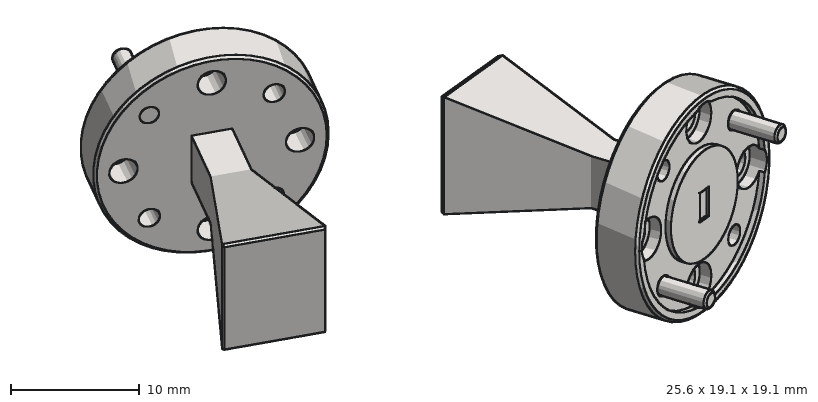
import cadquery as cq
import math

TOTAL_LENGTH = 25.6
PIN_PROTRUSION = 3.9
FLANGE_THICKNESS = 4.02
NECK_LENGTH = 5.4
FLANGE_BACK = PIN_PROTRUSION
FLANGE_FRONT = FLANGE_BACK + FLANGE_THICKNESS
NECK_END = FLANGE_FRONT + NECK_LENGTH

FLANGE_DIAMETER = 19.05
FLANGE_CHAMFER = 0.23
RECESS_OUTER_DIAMETER = 17.35
BOSS_DIAMETER = FLANGE_DIAMETER / 2
RECESS_DEPTH = 0.5
RECESS_FLOOR = FLANGE_BACK + RECESS_DEPTH

PITCH_RADIUS = 7.15
SCREW_HOLE_DIAMETER = 2.28
COUNTERBORE_DIAMETER = 3.55
COUNTERBORE_DEPTH = 1.6
SCREW_ANGLES = (0, 90, 180, 270)
DOWEL_HOLE_DIAMETER = 1.72
OPEN_DOWEL_ANGLES = (45, 225)
PIN_ANGLES = (135, 315)

PIN_DIAMETER = 1.55
PIN_CHAMFER = 0.18
PIN_COUNTERSINK_DEPTH = 0.08

POCKET_WIDTH = 1.3
POCKET_HEIGHT = 2.55
POCKET_DEPTH = 0.2

NECK_WIDTH = 3.3
NECK_HEIGHT = 4.58
MOUTH_WIDTH = 8.35
MOUTH_HEIGHT = 10.3
LIP_LENGTH = 0.3
LIP_INSET = 0.1
FLARE_END = TOTAL_LENGTH - LIP_LENGTH


def cross_section(x):
    """Workplane at the given X, with local axes along Y and Z."""
    return cq.Workplane("YZ", origin=(x, 0, 0))


def cylinder(x, length, diameter):
    return cross_section(x).circle(diameter / 2).extrude(length)


def on_pitch_circle(body, angle):
    """Move a body from the axis to the pitch circle at an angle in degrees from +Y."""
    turn = math.radians(angle)
    return body.translate((0, PITCH_RADIUS * math.cos(turn), PITCH_RADIUS * math.sin(turn)))


def tapered_block(x_start, x_end, start_size, end_size):
    return (
        cross_section(x_start).rect(*start_size)
        .workplane(offset=x_end - x_start).rect(*end_size)
        .loft(ruled=True)
    )


def make_horn():
    neck_size = (NECK_WIDTH, NECK_HEIGHT)
    mouth_size = (MOUTH_WIDTH, MOUTH_HEIGHT)
    lip_size = (MOUTH_WIDTH - 2 * LIP_INSET, MOUTH_HEIGHT - 2 * LIP_INSET)
    neck = cross_section(FLANGE_FRONT).rect(*neck_size).extrude(NECK_LENGTH)
    flare = tapered_block(NECK_END, FLARE_END, neck_size, mouth_size)
    lip = tapered_block(FLARE_END, TOTAL_LENGTH, mouth_size, lip_size)
    return neck.union(flare).union(lip)


def make_flange():
    disc = cylinder(FLANGE_BACK, FLANGE_THICKNESS, FLANGE_DIAMETER).edges().chamfer(FLANGE_CHAMFER)
    recess = cylinder(FLANGE_BACK, RECESS_DEPTH, RECESS_OUTER_DIAMETER).cut(
        cylinder(FLANGE_BACK, RECESS_DEPTH, BOSS_DIAMETER)
    )
    pocket = cross_section(FLANGE_BACK).rect(POCKET_WIDTH, POCKET_HEIGHT).extrude(POCKET_DEPTH)
    flange = disc.cut(recess).cut(pocket)

    screw_hole = cylinder(FLANGE_BACK, FLANGE_THICKNESS, SCREW_HOLE_DIAMETER).union(
        cylinder(FLANGE_BACK, COUNTERBORE_DEPTH, COUNTERBORE_DIAMETER)
    )
    for angle in SCREW_ANGLES:
        flange = flange.cut(on_pitch_circle(screw_hole, angle))

    open_hole = cylinder(FLANGE_BACK, FLANGE_THICKNESS, DOWEL_HOLE_DIAMETER)
    for angle in OPEN_DOWEL_ANGLES:
        flange = flange.cut(on_pitch_circle(open_hole, angle))

    countersink = (
        cross_section(RECESS_FLOOR).circle(DOWEL_HOLE_DIAMETER / 2)
        .workplane(offset=PIN_COUNTERSINK_DEPTH).circle(PIN_DIAMETER / 2)
        .loft()
    )
    pin_hole = cylinder(FLANGE_BACK, FLANGE_THICKNESS, PIN_DIAMETER).union(countersink)
    for angle in PIN_ANGLES:
        flange = flange.cut(on_pitch_circle(pin_hole, angle))
    return flange


def make_pin(angle):
    """Dowel pin through the full flange thickness, chamfered at its free tip."""
    pin = cylinder(0, FLANGE_FRONT, PIN_DIAMETER).faces("<X").chamfer(PIN_CHAMFER)
    return on_pitch_circle(pin, angle)


flanged_horn = make_flange().union(make_horn())
pins = [make_pin(angle) for angle in PIN_ANGLES]

result = cq.Compound.makeCompound([flanged_horn.val(), *[pin.val() for pin in pins]])